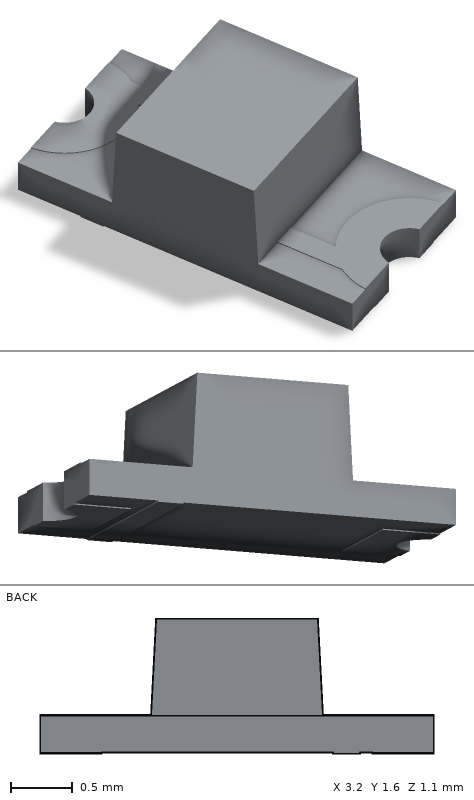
import cadquery as cq
import math

length = 3.2
width = 1.6
height = 1.1

copper = 0.01
board_thickness = 0.3
board_bottom = copper
board_top = board_bottom + board_thickness

lens_base_length = 1.4
lens_draft_degrees = 3.0
lens_height = height - board_top
lens_top_length = lens_base_length - 2 * lens_height * math.tan(math.radians(lens_draft_degrees))

notch_radius = 0.24
top_pad_radius = 0.6
notch_overhang = 0.05
notch_x = length / 2 + notch_overhang

trace_width = 0.2
trace_y = 0.4

bottom_pad_length = 0.5
bottom_pad_width = 0.9
polarity_bar_length = 0.22
polarity_bar_x = -0.89


def block(x_min, x_max, y_center, y_width, z_min, thickness):
    """Box between two X positions, centred on y_center and rising from z_min."""
    return (
        cq.Workplane("XY", origin=((x_min + x_max) / 2, y_center, z_min))
        .rect(x_max - x_min, y_width)
        .extrude(thickness)
    )


def cylinder(x, radius, z_min, thickness):
    """Upright cylinder on the centre line of the board."""
    return cq.Workplane("XY", origin=(x, 0, z_min)).circle(radius).extrude(thickness)


def left_copper():
    """Top pad, its trace and the bottom pad of the -X terminal."""
    board_end = -length / 2
    outline = block(board_end, 0, 0, width, board_top, copper)
    top_pad = cylinder(-notch_x, top_pad_radius, board_top, copper).intersect(outline)
    trace = block(-notch_x + notch_radius, -lens_base_length / 2, trace_y, trace_width, board_top, copper)
    bottom_pad = block(board_end, board_end + bottom_pad_length, 0, bottom_pad_width, 0, copper)
    return [top_pad.union(trace), bottom_pad]


def make_board():
    """Board with its copper; the +X terminal is the -X one turned half a turn about Z."""
    board = block(-length / 2, length / 2, 0, width, board_bottom, board_thickness)
    bar_half = polarity_bar_length / 2
    board = board.union(block(polarity_bar_x - bar_half, polarity_bar_x + bar_half, 0, width, 0, copper))
    for turn in (0, 180):
        for layer in left_copper():
            board = board.union(layer.rotate((0, 0, 0), (0, 0, 1), turn))
    for x in (-notch_x, notch_x):
        board = board.cut(cylinder(x, notch_radius, 0, height))
    return board.clean()


def make_lens():
    """Trapezoid in XZ, extruded over the full board width."""
    return (
        cq.Workplane("XZ", origin=(0, width / 2, 0))
        .moveTo(-lens_base_length / 2, board_top)
        .lineTo(lens_base_length / 2, board_top)
        .lineTo(lens_top_length / 2, height)
        .lineTo(-lens_top_length / 2, height)
        .close()
        .extrude(width)
    )


board = make_board()
lens = make_lens()
result = cq.Compound.makeCompound([board.val(), lens.val()])